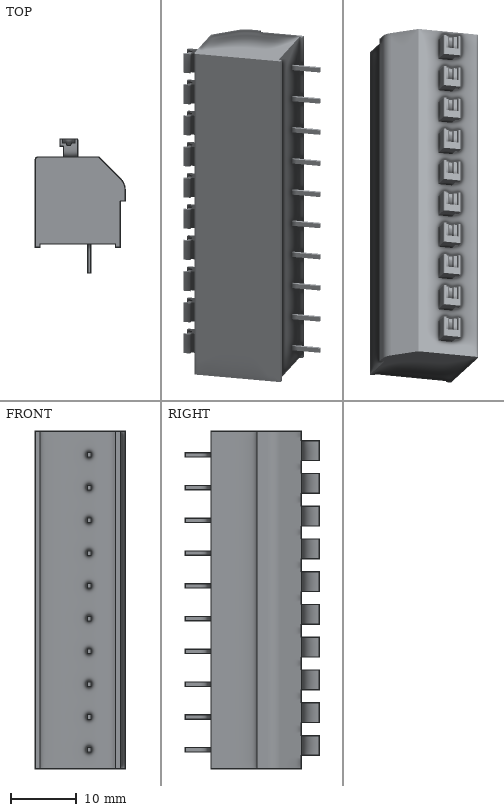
import cadquery as cq

WIDTH = 13.75
HEIGHT = 51.5
HOUSING_DEPTH = 13.8
LIP_OVERHANG = 0.75
LIP_DROP = 6.75
SLOPE_SIZE = 4.05
SLOPE_BLEND_RADIUS = 2.5
CORNER_RADIUS = 0.45

FOOT_WIDTH = 0.75
FOOT_HEIGHT = 0.5

POLE_COUNT = 10
PITCH = 5.0
FIRST_PIN_Z = 2.9
FIRST_BUTTON_Z = 3.55

PIN_X = 8.25
PIN_WIDTH = 0.5
PIN_THICKNESS = 0.7
PIN_PROTRUSION = 3.95

BUTTON_LEFT = 3.75
BUTTON_WIDTH = 2.75
BUTTON_PROTRUSION = 2.75
BUTTON_THICKNESS = 3.05
BUTTON_HOOK = 0.55
BUTTON_HEAD = 1.15
BUTTON_RADIUS = 0.2

RECESS_WIDTH = 1.9
RECESS_DEPTH = 0.6
RECESS_FLOOR_WIDTH = 0.5
RECESS_MID_WIDTH = 0.85
RECESS_TOTAL_DEPTH = 1.05
RECESS_LENGTH = 2.0

BODY_RIGHT = WIDTH - LIP_OVERHANG
OVERLAP = 0.5


def make_housing():
    """Terminal block body with sloped front, overhanging lip and two feet."""
    slope_corner = (WIDTH, HOUSING_DEPTH - SLOPE_SIZE)
    housing = (
        cq.Workplane("XY")
        .moveTo(0, 0)
        .lineTo(FOOT_WIDTH, 0)
        .lineTo(FOOT_WIDTH, FOOT_HEIGHT)
        .lineTo(BODY_RIGHT - FOOT_WIDTH, FOOT_HEIGHT)
        .lineTo(BODY_RIGHT - FOOT_WIDTH, 0)
        .lineTo(BODY_RIGHT, 0)
        .lineTo(BODY_RIGHT, HOUSING_DEPTH - LIP_DROP)
        .lineTo(WIDTH, HOUSING_DEPTH - LIP_DROP)
        .lineTo(*slope_corner)
        .lineTo(WIDTH - SLOPE_SIZE, HOUSING_DEPTH)
        .lineTo(0, HOUSING_DEPTH)
        .close()
        .extrude(HEIGHT)
    )
    slope_edge = cq.selectors.NearestToPointSelector((*slope_corner, HEIGHT / 2))
    left_edge = cq.selectors.NearestToPointSelector((0, HOUSING_DEPTH, HEIGHT / 2))
    housing = housing.edges("|Z").edges(slope_edge).fillet(SLOPE_BLEND_RADIUS)
    return housing.edges("|Z").edges(left_edge).fillet(CORNER_RADIUS)


def make_pin(z_center):
    """Straight rectangular solder pin leaving the housing towards -Y."""
    length = PIN_PROTRUSION + FOOT_HEIGHT + OVERLAP
    y_center = length / 2 - PIN_PROTRUSION
    pin = cq.Workplane("XY").box(PIN_WIDTH, length, PIN_THICKNESS)
    return pin.translate((PIN_X, y_center, z_center))


def make_button(z_center):
    """Hooked push button on the +Y face with a stepped recess in its head."""
    top = HOUSING_DEPTH + BUTTON_PROTRUSION
    right = BUTTON_LEFT + BUTTON_WIDTH
    stem_left = BUTTON_LEFT + BUTTON_HOOK
    bottom_z = z_center - BUTTON_THICKNESS / 2
    button = (
        cq.Workplane("XY")
        .workplane(offset=bottom_z)
        .moveTo(stem_left, HOUSING_DEPTH - OVERLAP)
        .lineTo(right, HOUSING_DEPTH - OVERLAP)
        .lineTo(right, top)
        .lineTo(BUTTON_LEFT, top)
        .lineTo(BUTTON_LEFT, top - BUTTON_HEAD)
        .lineTo(stem_left, top - BUTTON_HEAD)
        .close()
        .extrude(BUTTON_THICKNESS)
        .edges("|Z and >Y")
        .fillet(BUTTON_RADIUS)
    )
    middle = (BUTTON_LEFT + right) / 2
    recess = (
        cq.Workplane("XY")
        .workplane(offset=z_center + BUTTON_THICKNESS / 2 - RECESS_LENGTH)
        .moveTo(middle - RECESS_WIDTH / 2, top)
        .lineTo(middle - RECESS_WIDTH / 2, top - RECESS_DEPTH)
        .lineTo(middle - RECESS_MID_WIDTH / 2, top - RECESS_DEPTH)
        .lineTo(middle - RECESS_FLOOR_WIDTH / 2, top - RECESS_TOTAL_DEPTH)
        .lineTo(middle + RECESS_FLOOR_WIDTH / 2, top - RECESS_TOTAL_DEPTH)
        .lineTo(middle + RECESS_MID_WIDTH / 2, top - RECESS_DEPTH)
        .lineTo(middle + RECESS_WIDTH / 2, top - RECESS_DEPTH)
        .lineTo(middle + RECESS_WIDTH / 2, top)
        .close()
        .extrude(RECESS_LENGTH)
    )
    return button.cut(recess)


result = make_housing()
for pole in range(POLE_COUNT):
    result = result.union(make_pin(FIRST_PIN_Z + pole * PITCH))
    result = result.union(make_button(FIRST_BUTTON_Z + pole * PITCH))